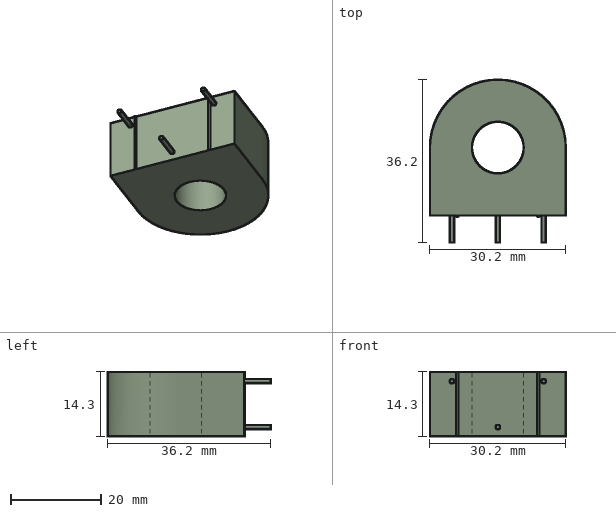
import cadquery as cq

body_width = 30.2
body_height = 14.3
bore_diameter = 11.4
body_radius = body_width / 2
front_face_y = -body_radius

pin_diameter = 1.0
overall_length = 36.2
pin_length = overall_length - body_width
pin_pitch = 10.17
pin_middle_z = body_height / 2
upper_pin_z = pin_middle_z + pin_pitch / 2
lower_pin_z = pin_middle_z - pin_pitch / 2
pin_positions = [
    (-pin_pitch, upper_pin_z),
    (pin_pitch, upper_pin_z),
    (0, lower_pin_z),
]

rib_diameter = 0.5
rib_offset = 8.98


def make_body():
    outline = (
        cq.Workplane("XY")
        .moveTo(-body_radius, front_face_y)
        .lineTo(body_radius, front_face_y)
        .lineTo(body_radius, 0)
        .threePointArc((0, body_radius), (-body_radius, 0))
        .close()
    )
    bore = cq.Workplane("XY").circle(bore_diameter / 2).extrude(body_height)
    return outline.extrude(body_height).cut(bore)


def make_pins():
    return (
        cq.Workplane("XZ", origin=(0, front_face_y, 0))
        .pushPoints(pin_positions)
        .circle(pin_diameter / 2)
        .extrude(pin_length)
    )


def make_ribs():
    return (
        cq.Workplane("XY")
        .pushPoints([(-rib_offset, front_face_y), (rib_offset, front_face_y)])
        .circle(rib_diameter / 2)
        .extrude(body_height)
    )


result = make_body().union(make_pins()).union(make_ribs())